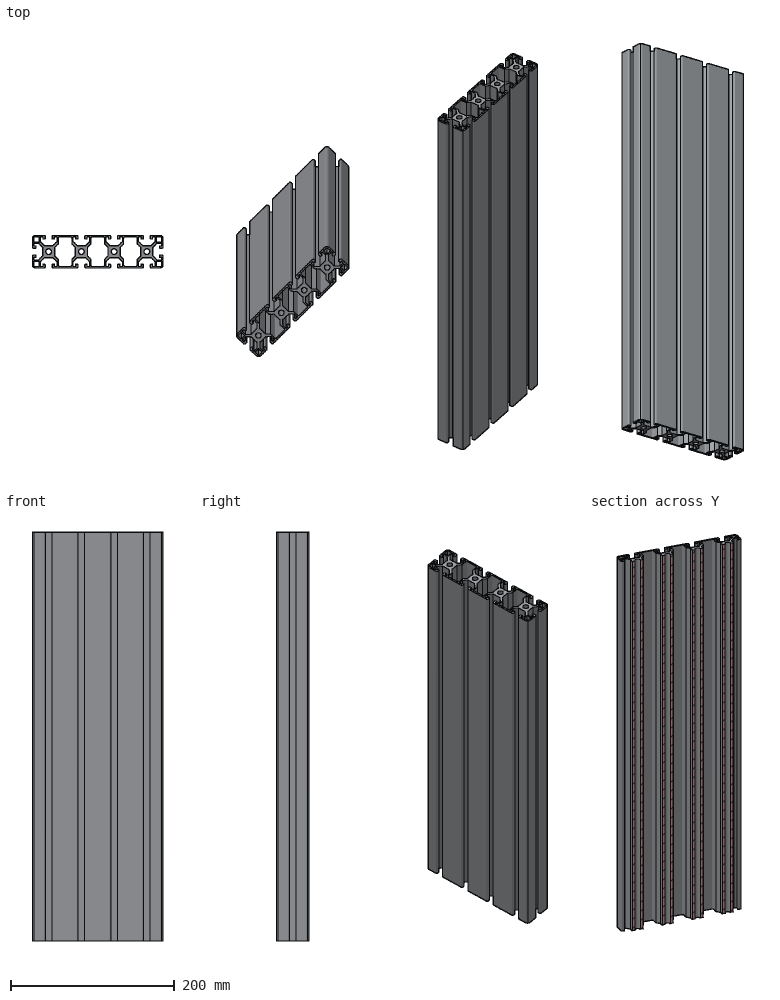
import cadquery as cq

cell = 40.0
cell_count = 4
length = 500.0
corner_radius = 4.0

opening_half = 4.1
lip_depth = 4.65
lip_width = 3.0
lip_outer_radius = 1.5
lip_inner_radius = 1.0
skin = 2.1
pocket_half = 10.0

core_half = 7.5
bore_radius = 3.35
arm_offset = 2.3
rib = 1.75
chamber_radius = 1.25

half_cell = cell / 2
width = cell * cell_count
cell_centers = [(i - (cell_count - 1) / 2) * cell for i in range(cell_count)]
wall_inner = half_cell - skin
rib_outer = pocket_half + rib


def prism(points):
    """Extrude a closed outline along the full length."""
    return cq.Workplane("XY").polyline(points).close().extrude(length)


def mirrored(half_outline):
    """Complete an outline whose points lie on the +X side, from bottom to top."""
    return half_outline + [(-x, y) for x, y in reversed(half_outline)]


def slot_cutter():
    """T-slot opening toward +Y from a cell centred on the origin."""
    lip_end = half_cell - lip_depth
    lip_outer = opening_half + lip_width
    cutter = prism(mirrored([
        (core_half - arm_offset, core_half),
        (pocket_half, pocket_half + arm_offset),
        (pocket_half, wall_inner),
        (lip_outer, wall_inner),
        (lip_outer, lip_end),
        (opening_half, lip_end),
        (opening_half, half_cell),
        (lip_outer, half_cell),
        (lip_outer, half_cell + skin),
    ]))
    for x in (-opening_half, opening_half):
        for y, radius in ((lip_end, lip_inner_radius), (half_cell, lip_outer_radius)):
            lip_edge = cq.selectors.NearestToPointSelector((x, y, length / 2))
            cutter = cutter.edges(lip_edge).fillet(radius)
    return cutter


def chamber_cutter():
    """Closed chamber between two neighbouring cores, centred on the origin."""
    narrow_half = half_cell - rib_outer
    wide_half = half_cell - core_half
    cutter = prism(mirrored([
        (narrow_half, -wall_inner),
        (narrow_half, arm_offset - rib_outer),
        (wide_half, arm_offset - core_half),
        (wide_half, core_half - arm_offset),
        (narrow_half, rib_outer - arm_offset),
        (narrow_half, wall_inner),
    ]))
    return cutter.faces("<Y or >Y").edges("|Z").fillet(chamber_radius)


def corner_hollows():
    """Square hollows in the four outer corners of the profile."""
    side = wall_inner - rib_outer
    middle = (wall_inner + rib_outer) / 2
    end_center = cell_centers[-1] + middle
    corners = [(sx * end_center, sy * middle) for sx in (-1, 1) for sy in (-1, 1)]
    return cq.Workplane("XY").pushPoints(corners).rect(side, side).extrude(length)


body = cq.Workplane("XY").rect(width, cell).extrude(length)
body = body.edges("|Z").fillet(corner_radius)

slot = slot_cutter()
for x in cell_centers:
    for angle in (0, 180):
        body = body.cut(slot.rotate((0, 0, 0), (0, 0, 1), angle).translate((x, 0, 0)))

for x, angle in ((cell_centers[0], 90), (cell_centers[-1], -90)):
    body = body.cut(slot.rotate((0, 0, 0), (0, 0, 1), angle).translate((x, 0, 0)))

chamber = chamber_cutter()
for x in cell_centers[:-1]:
    body = body.cut(chamber.translate((x + half_cell, 0, 0)))

bores = cq.Workplane("XY").pushPoints([(x, 0) for x in cell_centers]).circle(bore_radius).extrude(length)

result = body.cut(bores).cut(corner_hollows())